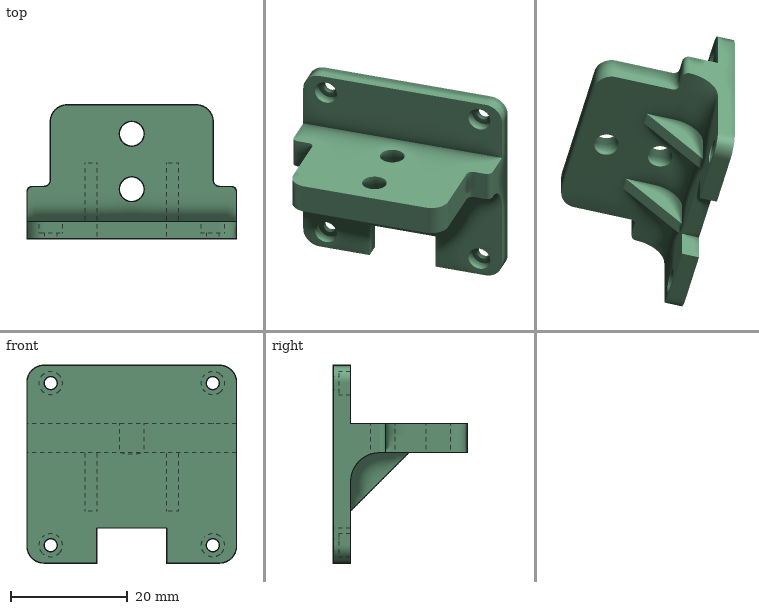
import cadquery as cq

plate_width = 36.0
plate_height = 34.0
plate_thickness = 3.0
plate_corner_radius = 3.0
screw_spacing = 27.8
screw_hole_diameter = 2.2
screw_recess_diameter = 4.0
screw_recess_depth = 1.98
notch_width = 12.0
notch_height = 6.0

shelf_back = 23.0
shelf_drop = 10.0
shelf_thickness = 5.0
shelf_width = 28.0
shelf_corner_radius = 3.0
shoulder_back = 9.0
shoulder_radius = 1.0
under_fillet_radius = 5.0
mount_hole_diameter = 4.2
mount_hole_positions = (8.5, 18.0)

gusset_leg = 10.0
gusset_thickness = 2.0

shelf_top = plate_height - shelf_drop
shelf_bottom = shelf_top - shelf_thickness


def make_plate():
    plate = (
        cq.Workplane("XY")
        .box(plate_width, plate_thickness, plate_height, centered=(True, False, False))
        .edges("|Y")
        .fillet(plate_corner_radius)
    )
    notch = cq.Workplane("XY").box(
        notch_width, plate_thickness, notch_height, centered=(True, False, False)
    )
    return (
        plate.cut(notch)
        .copyWorkplane(cq.Workplane("ZX", origin=(0, plate_thickness, plate_height / 2)))
        .rect(screw_spacing, screw_spacing, forConstruction=True)
        .vertices()
        .cboreHole(screw_hole_diameter, screw_recess_diameter, screw_recess_depth)
    )


def make_shelf():
    base = cq.Workplane("XY", origin=(0, 0, shelf_bottom))
    shoulder = base.box(plate_width, shoulder_back, shelf_thickness, centered=(True, False, False))
    tongue = base.box(shelf_width, shelf_back, shelf_thickness, centered=(True, False, False))
    shelf = shoulder.union(tongue)
    shelf = shelf.edges("|Z and >Y").fillet(shelf_corner_radius)

    shoulder_corners = [
        (side * width / 2, shoulder_back, shelf_bottom + shelf_thickness / 2)
        for side in (-1, 1)
        for width in (plate_width, shelf_width)
    ]
    for corner in shoulder_corners:
        nearest_edge = cq.selectors.NearestToPointSelector(corner)
        shelf = shelf.edges("|Z").edges(nearest_edge).fillet(shoulder_radius)

    return shelf


def make_under_fillet():
    """Concave blend between the shelf underside and the back of the plate."""
    radius = under_fillet_radius
    corner = cq.Workplane("XY", origin=(0, plate_thickness, shelf_bottom - radius)).box(
        plate_width, radius, radius, centered=(True, False, False)
    )
    hollow = (
        cq.Workplane("YZ", origin=(-plate_width / 2, 0, 0))
        .center(plate_thickness + radius, shelf_bottom - radius)
        .circle(radius)
        .extrude(plate_width)
    )
    return corner.cut(hollow)


def make_gusset(start_x):
    return (
        cq.Workplane("YZ", origin=(start_x, 0, 0))
        .moveTo(plate_thickness, shelf_bottom)
        .lineTo(plate_thickness + gusset_leg, shelf_bottom)
        .lineTo(plate_thickness, shelf_bottom - gusset_leg)
        .close()
        .extrude(gusset_thickness)
    )


mount_holes = (
    cq.Workplane("XY", origin=(0, 0, shelf_top))
    .pushPoints([(0, y) for y in mount_hole_positions])
    .circle(mount_hole_diameter / 2)
    .extrude(-(shelf_thickness + under_fillet_radius))
)

result = make_plate().union(make_shelf()).union(make_under_fillet())
for gusset_start in (-notch_width / 2 - gusset_thickness, notch_width / 2):
    result = result.union(make_gusset(gusset_start))
result = result.cut(mount_holes)